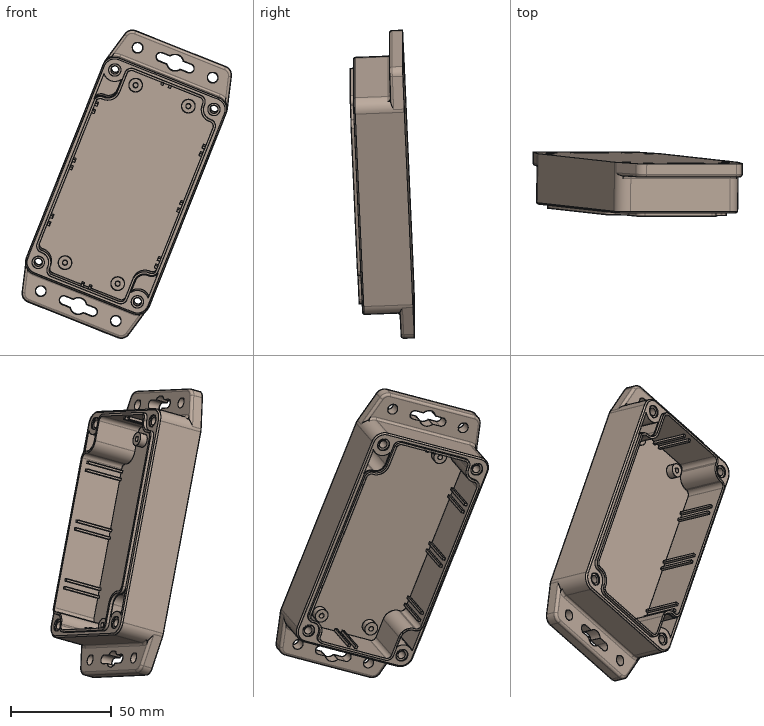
import cadquery as cq
import math


TURN = 21.7
TILT = 2.35

BODY_WIDTH = 65.6
BODY_LENGTH = 115.3
RIM_HEIGHT = 25.1
CORNER_RADIUS = 6.3
RIM_CHAMFER = 0.8

CAVITY_WIDTH = 58.7
CAVITY_LENGTH = 108.9
FLOOR = 3.0
LIP_HEIGHT = 1.7
LIP_THICKNESS = 1.0
TOP = RIM_HEIGHT + LIP_HEIGHT
CAVITY_DEPTH = TOP - FLOOR

SCREW_X = 26.5
SCREW_Y = 51.4
POST_RADIUS = 6.3
POST_BLEND = 2.3
SCREW_HOLE_RADIUS = 2.0
SCREW_RECESS_RADIUS = 3.0
SCREW_RECESS_DEPTH = 0.8

LONG_POST_Y = 42.0
POCKET_WEB = 1.5
POCKET_SIDE = 30.7
POCKET_POST_RADIUS = 5.7

STANDOFF_X = 14.0
STANDOFF_Y = 47.4
STANDOFF_RADIUS = 3.4
STANDOFF_HEIGHT = 4.0
STANDOFF_HOLE_RADIUS = 1.2

RIB_WIDTH = 1.2
RIB_PROJECTION = 1.4
RIB_TOP = 23.7
RIB_OFFSET = 2.0
RIB_PITCH = 30.0

TAB_END = 72.3
TAB_END_HALF_WIDTH = 27.5
TAB_THICKNESS = 6.5
TAB_CORNER_RADIUS = 4.6
TAB_EDGE_RADIUS = 1.4
TAB_ROOT_RADIUS = 1.2
TAB_HOLE_X = 20.0
TAB_HOLE_Y = 65.0
TAB_HOLE_RADIUS = 2.6
KEYHOLE_LENGTH = 19.9
KEYHOLE_SLOT_WIDTH = 4.5
KEYHOLE_RADIUS = 4.1

SELECT_MARGIN = 0.2


def block(x_min, x_max, y_min, y_max, z_min, z_max):
    size = (x_max - x_min, y_max - y_min, z_max - z_min)
    return cq.Workplane().box(*size, centered=False).translate((x_min, y_min, z_min))


def cylinders(points, radius, z_min, z_max):
    return cq.Workplane().workplane(offset=z_min).pushPoints(points).circle(radius).extrude(z_max - z_min)


def corners(x, y):
    return [(sx * x, sy * y) for sx in (-1, 1) for sy in (-1, 1)]


def half_turn(shape):
    return shape.rotate((0, 0, 0), (0, 0, 1), 180)


def make_body():
    body = cq.Workplane().rect(BODY_WIDTH, BODY_LENGTH).extrude(RIM_HEIGHT)
    return body.edges("|Z").fillet(CORNER_RADIUS).faces(">Z").edges().chamfer(RIM_CHAMFER)


def make_post(inner_y):
    """Solid filling the +X +Y cavity corner, rounded about the axis at inner_y."""
    outer_x = CAVITY_WIDTH / 2 + POST_RADIUS
    outer_y = CAVITY_LENGTH / 2 + POST_RADIUS
    side_x = SCREW_X - POST_RADIUS
    post = cylinders([(SCREW_X, inner_y)], POST_RADIUS, FLOOR, TOP)
    post = post.union(block(side_x, outer_x, inner_y, outer_y, FLOOR, TOP))
    return post.union(block(SCREW_X, outer_x, inner_y - POST_RADIUS, outer_y, FLOOR, TOP))


def blend_posts(cavity, x_range, y_range):
    """Round the upright edges where posts meet the wall spanning the given ranges."""
    low = (x_range[0] - SELECT_MARGIN, y_range[0] - SELECT_MARGIN, 0)
    high = (x_range[1] + SELECT_MARGIN, y_range[1] + SELECT_MARGIN, TOP)
    return cavity.edges("|Z").edges(cq.selectors.BoxSelector(low, high)).fillet(POST_BLEND)


def make_cavity():
    cavity = cq.Workplane().workplane(offset=FLOOR).rect(CAVITY_WIDTH, CAVITY_LENGTH).extrude(CAVITY_DEPTH)
    short_post = make_post(SCREW_Y)
    long_post = make_post(LONG_POST_Y).mirror("YZ")
    for post in (short_post, long_post):
        cavity = cavity.cut(post).cut(half_turn(post))
    half_width = CAVITY_WIDTH / 2
    half_length = CAVITY_LENGTH / 2
    for side in (-half_width, half_width):
        cavity = blend_posts(cavity, (side, side), (-half_length, half_length))
    for end in (-half_length, half_length):
        cavity = blend_posts(cavity, (-half_width, half_width), (end, end))
    return cavity


def grown_cavity(cavity, margin, z_min, z_max):
    """Prism over the cavity outline enlarged all round by margin."""
    outline = cavity.faces(">Z").wires().val().offset2D(margin)[0]
    return cq.Workplane(outline).toPending().extrude(z_max - z_min).translate((0, 0, z_min - TOP))


def make_pocket(cavity):
    """Hollow between the -X +Y post, its curved web and the body side."""
    pocket = block(-POCKET_SIDE, -SCREW_X + POST_RADIUS, LONG_POST_Y - POST_RADIUS - POST_BLEND,
                   SCREW_Y, FLOOR, RIM_HEIGHT)
    pocket = pocket.cut(cylinders([(-SCREW_X, SCREW_Y)], POCKET_POST_RADIUS, FLOOR, RIM_HEIGHT))
    return pocket.cut(grown_cavity(cavity, POCKET_WEB, FLOOR, RIM_HEIGHT))


def make_tab():
    """Tapered +Y tab whose sides run tangent into the rounded body corners."""
    corner_x = BODY_WIDTH / 2 - CORNER_RADIUS
    corner_y = BODY_LENGTH / 2 - CORNER_RADIUS
    to_end_x = TAB_END_HALF_WIDTH - corner_x
    to_end_y = TAB_END - corner_y
    to_end = math.hypot(to_end_x, to_end_y)
    tangent_angle = math.atan2(to_end_y, to_end_x) - math.acos(CORNER_RADIUS / to_end)
    root_x = corner_x + CORNER_RADIUS * math.cos(tangent_angle)
    root_y = corner_y + CORNER_RADIUS * math.sin(tangent_angle)
    inner_y = corner_y - CORNER_RADIUS
    right_side = [(root_x, inner_y), (root_x, root_y), (TAB_END_HALF_WIDTH, TAB_END)]
    left_side = [(-x, y) for x, y in reversed(right_side)]
    tab = cq.Workplane().polyline(right_side + left_side).close().extrude(TAB_THICKNESS)
    tab = tab.edges("|Z and >Y").fillet(TAB_CORNER_RADIUS)
    return tab.faces(">Z").edges("not <Y").fillet(TAB_EDGE_RADIUS)


def make_tab_root(tab):
    """Concave fillet between the front face of a tab and the rounded body end."""
    over_tab = tab.faces(">Z").wires().toPending().extrude(TAB_ROOT_RADIUS)
    clearance = block(-BODY_WIDTH, BODY_WIDTH, -BODY_LENGTH, BODY_LENGTH, TAB_THICKNESS, RIM_HEIGHT)
    clearance = clearance.cut(make_body())
    reach_x = BODY_WIDTH / 2 + SELECT_MARGIN
    reach_y = BODY_LENGTH / 2 + SELECT_MARGIN
    around_body = cq.selectors.BoxSelector(
        (-reach_x, -reach_y, TAB_THICKNESS - SELECT_MARGIN),
        (reach_x, reach_y, TAB_THICKNESS + SELECT_MARGIN),
        boundingbox=True)
    clearance = clearance.edges(around_body).fillet(TAB_ROOT_RADIUS)
    return over_tab.cut(clearance)


def make_tab_openings():
    """Two round holes and a keyhole with a slot to each side, for the +Y tab."""
    hole_points = [(-TAB_HOLE_X, TAB_HOLE_Y), (TAB_HOLE_X, TAB_HOLE_Y)]
    openings = cylinders(hole_points, TAB_HOLE_RADIUS, 0, TAB_THICKNESS)
    slot_outline = cq.Workplane().center(0, TAB_HOLE_Y).slot2D(KEYHOLE_LENGTH, KEYHOLE_SLOT_WIDTH)
    slot = slot_outline.extrude(TAB_THICKNESS)
    keyhole = cylinders([(0, TAB_HOLE_Y)], KEYHOLE_RADIUS, 0, TAB_THICKNESS)
    return openings.union(slot).union(keyhole)


def make_standoffs():
    top = FLOOR + STANDOFF_HEIGHT
    points = corners(STANDOFF_X, STANDOFF_Y)
    posts = cylinders(points, STANDOFF_RADIUS, FLOOR, top)
    return posts.cut(cylinders(points, STANDOFF_HOLE_RADIUS, FLOOR, top))


def make_rib(x, y, along_x, along_y):
    """Upright rib standing on the floor, centred on a wall line at (x, y)."""
    return block(x - along_x, x + along_x, y - along_y, y + along_y, FLOOR, RIB_TOP)


def add_ribs(base):
    half = RIB_WIDTH / 2
    for offset in (-RIB_OFFSET, RIB_OFFSET):
        for end in (-CAVITY_LENGTH / 2, CAVITY_LENGTH / 2):
            base = base.union(make_rib(offset, end, half, RIB_PROJECTION))
        for side in (-CAVITY_WIDTH / 2, CAVITY_WIDTH / 2):
            for row in (-RIB_PITCH, 0, RIB_PITCH):
                base = base.union(make_rib(side, row + offset, RIB_PROJECTION, half))
    return base


def make_screw_holes():
    points = corners(SCREW_X, SCREW_Y)
    holes = cylinders(points, SCREW_HOLE_RADIUS, 0, RIM_HEIGHT)
    return holes.union(cylinders(points, SCREW_RECESS_RADIUS, RIM_HEIGHT - SCREW_RECESS_DEPTH, RIM_HEIGHT))


cavity = make_cavity()
lip = grown_cavity(cavity, LIP_THICKNESS, RIM_HEIGHT, TOP)
pocket = make_pocket(cavity)
tab = make_tab()
tab = tab.union(make_tab_root(tab))
tab_openings = make_tab_openings()

base = make_body().union(tab).union(half_turn(tab))
base = base.cut(tab_openings).cut(half_turn(tab_openings))
base = base.union(lip).cut(cavity)
base = base.cut(pocket).cut(half_turn(pocket))
base = add_ribs(base).union(make_standoffs())
base = base.cut(make_screw_holes())

result = base.rotate((0, 0, 0), (1, 0, 0), 90 + TILT).rotate((0, 0, 0), (0, 1, 0), TURN)